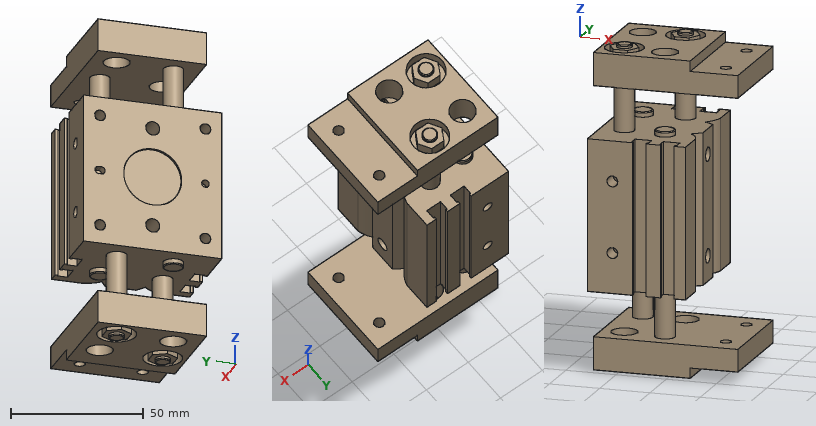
import cadquery as cq
import math


HOUSING_X = 39.0
HOUSING_Y = 55.0
HOUSING_Z = 60.0

SLOT_CENTERS_X = (20.6, 31.9)
SLOT_MOUTH = 5.4
SLOT_WIDTH = 6.5
SLOT_DEPTH = 5.1
SLOT_LIP = 1.2

GROOVE_INNER_Y = 6.1
GROOVE_ROOT_Y = 8.7
GROOVE_OUTER_Y = 15.1
GROOVE_DEPTH = 3.7
GROOVE_BULGE_Y = 11.8
GROOVE_BULGE_DEPTH = 1.3

TAPPED_DIAMETER = 4.2
TAPPED_DEPTH = 7.7
CORNER_HOLE_Y = 21.0
CORNER_HOLE_Z = 22.5
BOLT_HOLE_DIAMETER = 5.5
BOLT_HOLE_Z = 20.0
PIN_HOLE_DIAMETER = 3.0
PIN_SLOT_LENGTH = 4.0
PIN_HOLE_DEPTH = 3.8
RECESS_DIAMETER = 23.0
RECESS_DEPTH = 1.0

SIDE_HOLE_X = 10.0
SIDE_HOLE_Z = 14.1

OVERALL_Z = 128.0
FINGER_GAP = 19.3
FINGER_START_X = 0.5
FINGER_END_X = 58.0
FINGER_Y = 43.3
FINGER_THICKNESS = 13.0
FLANGE_THICKNESS = 9.0
FLANGE_HOLE_X = 50.3
FLANGE_HOLE_Y = 12.5
FLANGE_HOLE_DIAMETER = 4.2

ROD_DIAMETER = 8.0
ROD_STUB = 2.0
ROD_CHAMFER = 0.4
STUD_DIAMETER = 6.0
STUD_CHAMFER = 0.4
NUT_FLATS = 10.0
NUT_HEIGHT = 5.0
NUT_PROTRUSION = 0.4
NUT_RECESS_DIAMETER = 15.1
CLEARANCE_DIAMETER = 10.2
ROD_POINTS = ((9.5, -11.3), (26.1, 12.5))
OTHER_ROD_POINTS = tuple((x, -y) for x, y in ROD_POINTS)

HOUSING_TOP = HOUSING_Z / 2
FINGER_BOTTOM = HOUSING_TOP + FINGER_GAP
FINGER_TOP = FINGER_BOTTOM + FINGER_THICKNESS
NUT_TOP = FINGER_TOP + NUT_PROTRUSION
NUT_SEAT = NUT_TOP - NUT_HEIGHT
STUD_TOP = OVERALL_Z / 2
ROD_END = -HOUSING_TOP - ROD_STUB


def block(x_start, x_end, width, z_start, z_end):
    """Box centred on Y = 0."""
    return (
        cq.Workplane("XY", origin=(0, 0, z_start))
        .center((x_start + x_end) / 2, 0)
        .rect(x_end - x_start, width)
        .extrude(z_end - z_start)
    )


def upright_cylinders(points, diameter, z_start, z_end):
    return (
        cq.Workplane("XY", origin=(0, 0, z_start))
        .pushPoints(points)
        .circle(diameter / 2)
        .extrude(z_end - z_start)
    )


def t_slot(center_x):
    """T-slot in the +Y side: a narrow mouth with a wider channel behind it."""
    side = HOUSING_Y / 2
    mouth = block(-SLOT_MOUTH / 2, SLOT_MOUTH / 2, 2 * side, -HOUSING_TOP, HOUSING_TOP)
    channel = block(-SLOT_WIDTH / 2, SLOT_WIDTH / 2, 2 * (side - SLOT_LIP), -HOUSING_TOP, HOUSING_TOP)
    core = block(-SLOT_WIDTH, SLOT_WIDTH, 2 * (side - SLOT_DEPTH), -HOUSING_TOP, HOUSING_TOP)
    return mouth.union(channel).cut(core).translate((center_x, 0, 0))


def side_groove():
    """Groove in the +X side: a steep inner wall and a bulging outer flank."""
    return (
        cq.Workplane("XY", origin=(0, 0, -HOUSING_TOP))
        .moveTo(HOUSING_X, -GROOVE_INNER_Y)
        .lineTo(HOUSING_X - GROOVE_DEPTH, -GROOVE_ROOT_Y)
        .threePointArc(
            (HOUSING_X - GROOVE_BULGE_DEPTH, -GROOVE_BULGE_Y),
            (HOUSING_X, -GROOVE_OUTER_Y),
        )
        .close()
        .extrude(HOUSING_Z)
    )


def mounting_face_cuts():
    """Holes and round recess cut into the -X face; local axes are Y and Z."""
    face = cq.Workplane("YZ")
    corner_holes = (
        face.rect(2 * CORNER_HOLE_Y, 2 * CORNER_HOLE_Z, forConstruction=True)
        .vertices()
        .circle(TAPPED_DIAMETER / 2)
        .extrude(TAPPED_DEPTH)
    )
    bolt_holes = (
        face.pushPoints([(0, -BOLT_HOLE_Z), (0, BOLT_HOLE_Z)])
        .circle(BOLT_HOLE_DIAMETER / 2)
        .extrude(HOUSING_X)
    )
    pin_hole = face.center(-CORNER_HOLE_Y, 0).circle(PIN_HOLE_DIAMETER / 2).extrude(PIN_HOLE_DEPTH)
    pin_slot = (
        face.center(CORNER_HOLE_Y, 0)
        .slot2D(PIN_SLOT_LENGTH, PIN_HOLE_DIAMETER)
        .extrude(PIN_HOLE_DEPTH)
    )
    recess = face.circle(RECESS_DIAMETER / 2).extrude(RECESS_DEPTH)
    return (corner_holes, bolt_holes, pin_hole, pin_slot, recess)


def side_holes():
    """Pair of tapped holes in the -Y side."""
    return (
        cq.Workplane("XZ", origin=(0, -HOUSING_Y / 2, 0))
        .pushPoints([(SIDE_HOLE_X, -SIDE_HOLE_Z), (SIDE_HOLE_X, SIDE_HOLE_Z)])
        .circle(TAPPED_DIAMETER / 2)
        .extrude(-TAPPED_DEPTH)
    )


def make_housing():
    housing = block(0, HOUSING_X, HOUSING_Y, -HOUSING_TOP, HOUSING_TOP)
    for center_x in SLOT_CENTERS_X:
        housing = housing.cut(t_slot(center_x))
    for feature in (side_groove(), side_holes()):
        housing = housing.cut(feature).cut(feature.mirror("XZ"))
    for feature in mounting_face_cuts():
        housing = housing.cut(feature)
    rod_bores = upright_cylinders(
        ROD_POINTS + OTHER_ROD_POINTS, ROD_DIAMETER, -HOUSING_TOP, HOUSING_TOP
    )
    return housing.cut(rod_bores)


def finger_plate():
    """Stepped plate with nut recesses, clearance holes and flange holes."""
    pad = block(FINGER_START_X, HOUSING_X, FINGER_Y, FINGER_BOTTOM, FINGER_TOP)
    flange_top = FINGER_BOTTOM + FLANGE_THICKNESS
    flange = block(HOUSING_X, FINGER_END_X, FINGER_Y, FINGER_BOTTOM, flange_top)
    flange_hole_points = [(FLANGE_HOLE_X, -FLANGE_HOLE_Y), (FLANGE_HOLE_X, FLANGE_HOLE_Y)]
    return (
        pad.union(flange)
        .cut(upright_cylinders(ROD_POINTS, NUT_RECESS_DIAMETER, NUT_SEAT, FINGER_TOP))
        .cut(upright_cylinders(OTHER_ROD_POINTS, CLEARANCE_DIAMETER, FINGER_BOTTOM, FINGER_TOP))
        .cut(upright_cylinders(flange_hole_points, FLANGE_HOLE_DIAMETER, FINGER_BOTTOM, flange_top))
    )


def guide_rods():
    """Rods with a chamfered free end and a chamfered stud at the nut end."""
    rods = upright_cylinders(ROD_POINTS, ROD_DIAMETER, ROD_END, NUT_SEAT)
    studs = upright_cylinders(ROD_POINTS, STUD_DIAMETER, NUT_SEAT, STUD_TOP)
    rods = rods.faces("<Z").chamfer(ROD_CHAMFER)
    return rods.union(studs.faces(">Z").chamfer(STUD_CHAMFER))


def nuts():
    """Hexagon nuts with two corners pointing along X."""
    width_across_corners = NUT_FLATS / math.cos(math.pi / 6)
    return (
        cq.Workplane("XY", origin=(0, 0, NUT_SEAT))
        .pushPoints(ROD_POINTS)
        .polygon(6, width_across_corners)
        .extrude(NUT_HEIGHT)
    )


def make_finger():
    """Upper finger: plate, rods and nuts as one solid."""
    return finger_plate().union(guide_rods()).union(nuts())


housing = make_housing()

fingers = []
for turn in (0, 180):
    fingers.append(make_finger().rotate((0, 0, 0), (1, 0, 0), turn).val())

result = cq.Compound.makeCompound([housing.val(), *fingers])